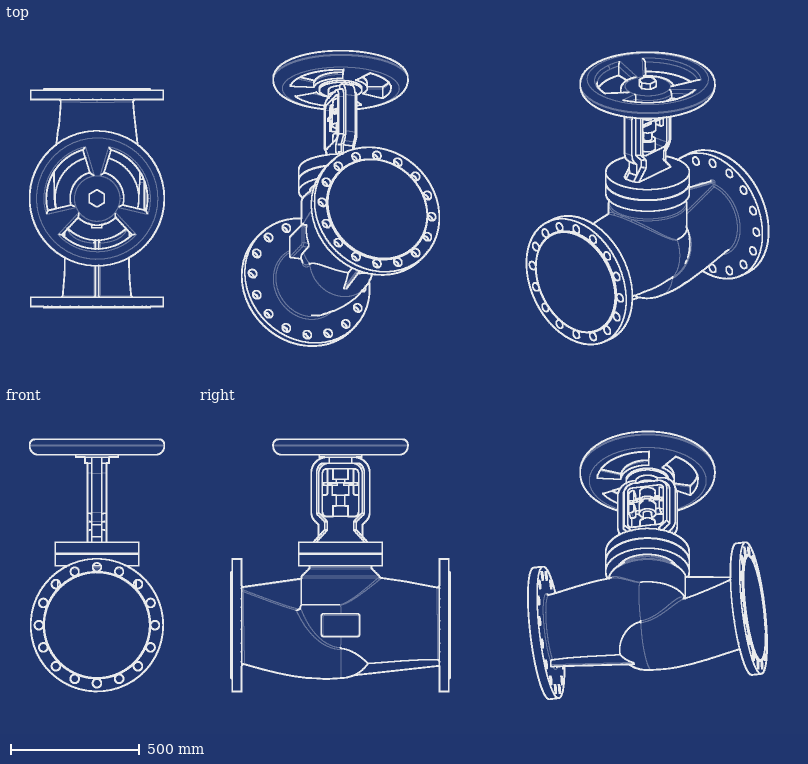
import cadquery as cq
import math

FACE_TO_FACE = 850.0
TOP_Z = 721.28

FLANGE_DIA = 515.0
FLANGE_THICK = 37.0
RAISED_FACE_HEIGHT = 5.0
RAISED_FACE_DIA = 415.0
RAISED_FACE_CHAMFER = 3.0
BOLT_CIRCLE_DIA = 450.0
BOLT_HOLE_DIA = 33.0
BOLT_COUNT = 16
FLANGE_BACK_Y = FACE_TO_FACE / 2 - RAISED_FACE_HEIGHT - FLANGE_THICK
PIPE_FILLET = 8.0

UPPER_RADIUS = 165.0
UPPER_Z = 15.0
LOWER_RADIUS = 128.0
LOWER_Z = -78.0
CHAMBER_BLEND_RADIUS = 14.0
NECK_BLEND_RADIUS = 7.0
UPPER_SECTIONS = [
    (FLANGE_BACK_Y, 5.0, 140.0, 140.0),
    (345.0, 9.0, 143.0, 143.0),
    (210.0, 18.0, 158.0, 159.0),
    (0.0, UPPER_Z, UPPER_RADIUS, UPPER_RADIUS),
]
LOWER_SECTIONS = [
    (-FLANGE_BACK_Y, -8.0, 134.0, 141.0),
    (-230.0, -56.0, 125.0, 133.0),
    (-110.0, -80.0, 127.0, 127.0),
    (0.0, LOWER_Z, LOWER_RADIUS, LOWER_RADIUS),
]

NECK_RADIUS = 152.0
NECK_SHOULDER_Z = 189.0
NECK_TOP_RADIUS = 120.0
NECK_CONE_TOP_Z = 221.0
NECK_FILLET = 10.0
COVER_DIA = 325.0
HOUSING_TOP_Z = 276.0
COVER_FLANGE_THICK = 46.0

OVER_RIB_Y = -100.0
OVER_RIB_HIGH_Z = 188.5
OVER_RIB_LOW_Z = 148.0
UNDER_RIB_Y = 50.0
UNDER_RIB_LOW_Z = -195.0
UNDER_RIB_HIGH_Z = -158.0
RIB_THICK = 13.0
RIB_EDGE_FILLET = 3.0
RIB_ROOT_RADIUS = 6.0
SLOPED_EDGES = "(not |X) and (not |Y) and (not |Z)"
PAD_X = 185.0
PAD_LENGTH = 150.0
PAD_HEIGHT = 90.0
PAD_FILLET = 12.0

BONNET_SPIGOT_DIA = 235.0
BONNET_SPIGOT_HEIGHT = 2.0
BONNET_TOP_Z = 322.5
YOKE_THICK = 75.0
YOKE_RIM_TAPER = 8.5
YOKE_FOOT_SINK = 20.0
YOKE_HALF = 92.5
YOKE_NECK_HALF = 60.5
YOKE_NECK_LOW_Z = 371.0
YOKE_NECK_HIGH_Z = 400.0
YOKE_FOOT_HALF = 103.0
YOKE_TOP_Z = 628.0
YOKE_CORNER = 46.0
FIN_THICK = 39.0
FIN_HALF = 114.0
FIN_NECK_HALF = 86.0
FIN_TOP_RADIUS = 62.0
FIN_FOOT_Z = 342.0
FIN_BEND_Z = 418.0
BEND_RADIUS = 50.0
WINDOW_HALF = 70.0
WINDOW_BOTTOM_Z = 422.0
WINDOW_TOP_Z = 606.0
WINDOW_CORNER = 16.0
YOKE_BOSS_DIA = 94.0

STEM_DIA = 33.0
SLEEVE_DIA = 60.0
COLLAR_DIA = 65.0
GLAND_TOP_Z = 463.0
STEM_NUT_BOTTOM_Z = 565.0
COLLAR_BOTTOM_Z = 504.0
ARM_TOP_Z = 552.0
ARM_THICK = 9.0
ARM_LENGTH = 130.0
ARM_WIDTH = 60.0
GUIDE_DEPTH = 20.0
GUIDE_THICK = 39.0

WHEEL_DIA = 523.81
WHEEL_BOTTOM_Z = 660.0
HUB_PLATE_DIA = 165.88
HUB_PLATE_BOTTOM_Z = 652.0
HUB_TOP_Z = 690.0
HUB_TOP_RADIUS = 88.0
RIM_TOP_FILLET = 22.0
RIM_BOTTOM_FILLET = 35.0
RIM_SLOPE = math.radians(12.0)
WINDOW_INNER_RADIUS = 104.0
WINDOW_OUTER_RADIUS = 196.0
WHEEL_WINDOW_FILLET = 13.0
SPOKE_COUNT = 3
SPOKE_APEX_RADIUS = 54.0
SPOKE_HALF_ANGLE = math.radians(17.0)
HEX_ACROSS_FLATS = 58.0
HEX_TOP_Z = 714.0


def disc(radius, z_bottom, z_top):
    """Upright cylinder on the stem axis."""
    return cq.Workplane("XY").workplane(offset=z_bottom).circle(radius).extrude(z_top - z_bottom)


def plate_yz(points, thickness):
    """Plate with a straight-sided outline in the YZ plane, centred on X = 0."""
    return cq.Workplane("YZ").polyline(points).close().extrude(thickness / 2, both=True)


def mirrored(points):
    """Closed outline from the points of its +Y half, listed bottom to top."""
    return points + [(-y, z) for y, z in reversed(points)]


def fillet_between(body, low_corner, high_corner, radius):
    """Fillet the edges whose bounds fall inside a box."""
    box = cq.selectors.BoxSelector(low_corner, high_corner, boundingbox=True)
    return body.edges(box).fillet(radius)


def pipe_flange(side):
    """Drilled flange with its raised face; side is +1 at the +Y end and -1 at the -Y end."""
    plane = cq.Plane(origin=(0, side * FLANGE_BACK_Y, 0), xDir=(1, 0, 0), normal=(0, side, 0))
    raised = (
        cq.Workplane(plane)
        .circle(RAISED_FACE_DIA / 2)
        .extrude(FLANGE_THICK + RAISED_FACE_HEIGHT)
        .faces(">Y" if side > 0 else "<Y")
        .chamfer(RAISED_FACE_CHAMFER)
    )
    holes = (
        cq.Workplane(plane)
        .polarArray(BOLT_CIRCLE_DIA / 2, 0, 360, BOLT_COUNT)
        .circle(BOLT_HOLE_DIA / 2)
        .extrude(FLANGE_THICK + RAISED_FACE_HEIGHT)
    )
    return cq.Workplane(plane).circle(FLANGE_DIA / 2).extrude(FLANGE_THICK).union(raised).cut(holes)


def pipe(sections):
    """Smooth pipe through oval sections that stand square to Y."""
    wires = [
        cq.Wire.makeEllipse(
            half_height, half_width, cq.Vector(0, y, z), cq.Vector(0, 1, 0), cq.Vector(0, 0, 1)
        )
        for y, z, half_width, half_height in sorted(sections, reverse=True)
    ]
    return cq.Workplane(obj=cq.Solid.makeLoft(wires))


def chamber_end(radius, z, side):
    """Half ball that closes a pipe's chamber end; side is the Y direction it faces."""
    quarter = (
        cq.Workplane("XY")
        .lineTo(radius, 0)
        .radiusArc((0, side * radius), -side * radius)
        .close()
    )
    return quarter.revolve(360, (0, 0), (0, 1)).translate((0, 0, z))


def neck():
    """Round neck with a conical shoulder under the cover flange."""
    profile = (
        cq.Workplane("XZ")
        .moveTo(0, UPPER_Z)
        .lineTo(NECK_RADIUS, UPPER_Z)
        .lineTo(NECK_RADIUS, NECK_SHOULDER_Z)
        .lineTo(NECK_TOP_RADIUS, NECK_CONE_TOP_Z)
        .lineTo(NECK_TOP_RADIUS, HOUSING_TOP_Z - COVER_FLANGE_THICK)
        .lineTo(COVER_DIA / 2, HOUSING_TOP_Z - COVER_FLANGE_THICK)
        .lineTo(COVER_DIA / 2, HOUSING_TOP_Z)
        .lineTo(0, HOUSING_TOP_Z)
        .close()
    )
    cone_ends = cq.selectors.BoxSelector(
        (-COVER_DIA, -COVER_DIA, NECK_SHOULDER_Z - 1),
        (COVER_DIA, COVER_DIA, NECK_CONE_TOP_Z + 1),
        boundingbox=True,
    )
    return profile.revolve(360, (0, 0), (0, 1)).edges(cone_ends).edges("%CIRCLE").fillet(NECK_FILLET)


def rib(outline):
    """Upright plate in the YZ plane with its sloping outer edges rounded."""
    return plate_yz(outline, RIB_THICK).edges(SLOPED_EDGES).fillet(RIB_EDGE_FILLET)


def over_rib():
    """Rib from the neck down to the -Y flange, above the lower pipe."""
    return rib(
        [
            (OVER_RIB_Y, OVER_RIB_HIGH_Z),
            (-FLANGE_BACK_Y, OVER_RIB_LOW_Z),
            (-FLANGE_BACK_Y, 0),
            (OVER_RIB_Y, 0),
        ]
    )


def under_rib():
    """Rib from the lower chamber to the +Y flange, below the upper pipe."""
    return rib(
        [
            (UNDER_RIB_Y, UNDER_RIB_LOW_Z),
            (FLANGE_BACK_Y, UNDER_RIB_HIGH_Z),
            (FLANGE_BACK_Y, 0),
            (UNDER_RIB_Y, 0),
        ]
    )


def side_pad():
    """Rounded rectangular pad on the +X side of the upper chamber."""
    return (
        cq.Workplane("YZ")
        .rect(PAD_LENGTH, PAD_HEIGHT)
        .extrude(PAD_X)
        .edges("|X")
        .fillet(PAD_FILLET)
        .faces(">X")
        .edges()
        .fillet(PAD_FILLET / 2)
    )


def flanged_half(sections, radius, z, side):
    """Pipe with its flange at the outer end and a half ball at the chamber end."""
    half = fillet_between(
        pipe(sections).union(pipe_flange(side)),
        (-UPPER_RADIUS, side * FLANGE_BACK_Y - 1, -UPPER_RADIUS),
        (UPPER_RADIUS, side * FLANGE_BACK_Y + 1, UPPER_RADIUS),
        PIPE_FILLET,
    )
    return half.union(chamber_end(radius, z, -side))


def make_housing():
    upper = flanged_half(UPPER_SECTIONS, UPPER_RADIUS, UPPER_Z, 1)
    lower = flanged_half(LOWER_SECTIONS, LOWER_RADIUS, LOWER_Z, -1)
    reach = UPPER_RADIUS + 1

    body = fillet_between(
        upper.union(lower),
        (-reach, -reach - 10, LOWER_Z - 20),
        (reach, 1, UPPER_RADIUS),
        CHAMBER_BLEND_RADIUS,
    )
    body = fillet_between(
        body.union(neck()),
        (-reach, -1, UPPER_Z + 1),
        (reach, reach, NECK_SHOULDER_Z - 1),
        NECK_BLEND_RADIUS,
    )
    lower_with_rib = fillet_between(
        lower.union(over_rib()),
        (-RIB_THICK, 1 - FLANGE_BACK_Y, 0),
        (RIB_THICK, OVER_RIB_Y + 1, LOWER_SECTIONS[0][3]),
        RIB_ROOT_RADIUS,
    )
    body = body.union(lower_with_rib).union(under_rib())
    return body.union(side_pad())


def yoke_web():
    """Full-thickness frame, flared at the foot, whose rim tapers from the fin to its side faces."""
    half = [
        (YOKE_FOOT_HALF + YOKE_FOOT_SINK, BONNET_TOP_Z - YOKE_FOOT_SINK),
        (YOKE_NECK_HALF, YOKE_NECK_LOW_Z),
        (YOKE_NECK_HALF, YOKE_NECK_HIGH_Z),
        (YOKE_HALF, YOKE_NECK_HIGH_Z + YOKE_HALF - YOKE_NECK_HALF),
        (YOKE_HALF, YOKE_TOP_Z + YOKE_RIM_TAPER),
    ]
    core = plate_yz(mirrored(half), FIN_THICK).edges("|X and >Z").fillet(YOKE_CORNER)
    side_depth = (YOKE_THICK - FIN_THICK) / 2
    taper = math.degrees(math.atan(YOKE_RIM_TAPER / side_depth))
    web = core
    for face in ("<X", ">X"):
        outline = core.faces(face).wires().toPending().workplane()
        web = web.union(outline.extrude(side_depth, taper=taper))
    top_plane = cq.Workplane("XY").workplane(offset=YOKE_TOP_Z)
    top_trim = top_plane.rect(COVER_DIA, COVER_DIA).extrude(COVER_DIA)
    return web.cut(top_trim)


def yoke_fin():
    """Narrow outer fin that follows the frame."""
    half = [
        (FIN_NECK_HALF, FIN_FOOT_Z),
        (FIN_NECK_HALF, FIN_BEND_Z - FIN_HALF + FIN_NECK_HALF),
        (FIN_HALF, FIN_BEND_Z),
        (FIN_HALF, HUB_PLATE_BOTTOM_Z),
    ]
    fin = plate_yz(mirrored(half), FIN_THICK)
    bends = cq.selectors.BoxSelector(
        (-FIN_THICK, -FIN_HALF - 1, FIN_BEND_Z - 1),
        (FIN_THICK, FIN_HALF + 1, FIN_BEND_Z + 1),
    )
    return fin.edges("|X and >Z").fillet(FIN_TOP_RADIUS).edges(bends).edges("|X").fillet(BEND_RADIUS)


def yoke_window():
    """Rounded opening through the yoke that shows the stem."""
    height = WINDOW_TOP_Z - WINDOW_BOTTOM_Z
    return (
        cq.Workplane("YZ")
        .center(0, WINDOW_BOTTOM_Z + height / 2)
        .rect(2 * WINDOW_HALF, height)
        .extrude(YOKE_THICK, both=True)
        .edges("|X")
        .fillet(WINDOW_CORNER)
    )


def stem():
    """Stem across the yoke window with its gland, nut, collar and cross arm."""
    gland = disc(SLEEVE_DIA / 2, WINDOW_BOTTOM_Z, GLAND_TOP_Z)
    nut = disc(SLEEVE_DIA / 2, STEM_NUT_BOTTOM_Z, WINDOW_TOP_Z)
    collar = disc(COLLAR_DIA / 2, COLLAR_BOTTOM_Z, ARM_TOP_Z)
    rod = disc(STEM_DIA / 2, WINDOW_BOTTOM_Z, WINDOW_TOP_Z)
    arm = (
        cq.Workplane("XY")
        .workplane(offset=ARM_TOP_Z - ARM_THICK)
        .rect(ARM_WIDTH, ARM_LENGTH)
        .extrude(ARM_THICK)
    )
    return rod.union(gland).union(nut).union(collar).union(arm)


def stem_guide(side):
    """Bar on the inner face of a yoke leg that keeps the arm from turning."""
    inner = WINDOW_HALF - GUIDE_DEPTH
    bar = (
        cq.Workplane("XY")
        .workplane(offset=COLLAR_BOTTOM_Z)
        .center(0, side * (inner + WINDOW_HALF) / 2)
        .rect(GUIDE_THICK, GUIDE_DEPTH)
        .extrude(WINDOW_TOP_Z - COLLAR_BOTTOM_Z)
    )
    lower_inner_edge = bar.faces("<Z").edges("<Y" if side > 0 else ">Y")
    return lower_inner_edge.fillet(GUIDE_DEPTH / 2)


def make_bonnet():
    plate = disc(COVER_DIA / 2, HOUSING_TOP_Z + BONNET_SPIGOT_HEIGHT, BONNET_TOP_Z)
    spigot = disc(BONNET_SPIGOT_DIA / 2, HOUSING_TOP_Z, BONNET_TOP_Z)
    boss = disc(YOKE_BOSS_DIA / 2, YOKE_TOP_Z, HUB_PLATE_BOTTOM_Z)
    yoke = yoke_web().union(yoke_fin()).cut(yoke_window()).union(boss)
    bonnet = plate.union(spigot).union(yoke).union(stem())
    for side in (1, -1):
        bonnet = bonnet.union(stem_guide(side))
    return bonnet


def wheel_blank():
    """Revolved disc with a flat hub, a dished top and a rounded rim."""
    radius = WHEEL_DIA / 2
    top_centre_r = radius - RIM_TOP_FILLET
    top_centre_z = TOP_Z - RIM_TOP_FILLET
    tangent_r = top_centre_r - RIM_TOP_FILLET * math.sin(RIM_SLOPE)
    tangent_z = top_centre_z + RIM_TOP_FILLET * math.cos(RIM_SLOPE)
    bottom_centre_r = radius - RIM_BOTTOM_FILLET
    bottom_centre_z = WHEEL_BOTTOM_Z + RIM_BOTTOM_FILLET
    diagonal = math.sqrt(0.5)
    return (
        cq.Workplane("XZ")
        .moveTo(0, WHEEL_BOTTOM_Z)
        .lineTo(bottom_centre_r, WHEEL_BOTTOM_Z)
        .threePointArc(
            (
                bottom_centre_r + RIM_BOTTOM_FILLET * diagonal,
                bottom_centre_z - RIM_BOTTOM_FILLET * diagonal,
            ),
            (radius, bottom_centre_z),
        )
        .lineTo(radius, top_centre_z)
        .threePointArc(
            (
                top_centre_r + RIM_TOP_FILLET * diagonal,
                top_centre_z + RIM_TOP_FILLET * diagonal,
            ),
            (tangent_r, tangent_z),
        )
        .lineTo(HUB_TOP_RADIUS, HUB_TOP_Z)
        .lineTo(0, HUB_TOP_Z)
        .close()
        .revolve(360, (0, 0), (0, 1))
    )


def wheel_windows():
    """Three ring-shaped openings, left between spokes that widen toward the rim."""
    height = TOP_Z - WHEEL_BOTTOM_Z
    ring = (
        cq.Workplane("XY")
        .workplane(offset=WHEEL_BOTTOM_Z)
        .circle(WINDOW_OUTER_RADIUS)
        .circle(WINDOW_INNER_RADIUS)
        .extrude(height)
    )
    start = SPOKE_APEX_RADIUS - WHEEL_WINDOW_FILLET / math.sin(SPOKE_HALF_ANGLE)
    half_width = (WHEEL_DIA / 2 - start) * math.tan(SPOKE_HALF_ANGLE)
    for index in range(SPOKE_COUNT):
        spoke = (
            cq.Workplane("XY")
            .workplane(offset=WHEEL_BOTTOM_Z)
            .polyline([(0, start), (half_width, WHEEL_DIA / 2), (-half_width, WHEEL_DIA / 2)])
            .close()
            .extrude(height)
        )
        ring = ring.cut(spoke.rotate((0, 0, 0), (0, 0, 1), index * 360 / SPOKE_COUNT))
    return ring


def make_handwheel():
    reach = WINDOW_OUTER_RADIUS + 1
    wheel = fillet_between(
        wheel_blank().cut(wheel_windows()),
        (-reach, -reach, HUB_TOP_Z + 1),
        (reach, reach, TOP_Z),
        WHEEL_WINDOW_FILLET,
    )
    hub_plate = disc(HUB_PLATE_DIA / 2, HUB_PLATE_BOTTOM_Z, WHEEL_BOTTOM_Z)
    nut = (
        cq.Workplane("XY")
        .workplane(offset=HUB_TOP_Z)
        .polygon(6, HEX_ACROSS_FLATS, circumscribed=True)
        .extrude(HEX_TOP_Z - HUB_TOP_Z)
    )
    return wheel.union(hub_plate).union(nut)


housing = make_housing()
bonnet = make_bonnet()
handwheel = make_handwheel()

result = cq.Compound.makeCompound([housing.val(), bonnet.val(), handwheel.val()])